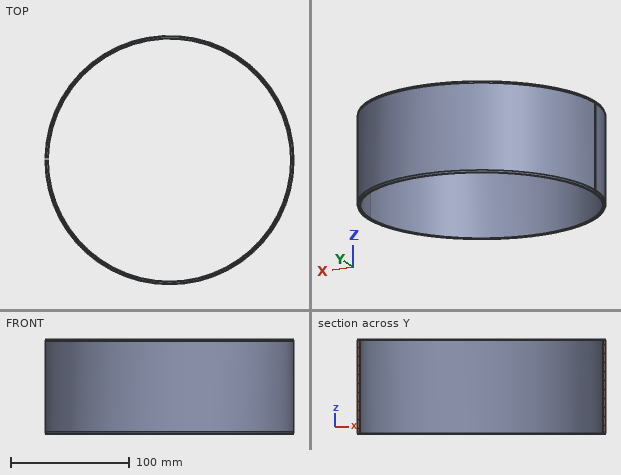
import cadquery as cq

outer_radius = 105.0
height = 80.0
wall_thickness = 2.5
outer_bevel_depth = 0.65
outer_bevel_height = 1.8
inner_bevel_depth = 0.35
inner_bevel_height = 0.6
slit_width = 1.8

inner_radius = outer_radius - wall_thickness
half_height = height / 2


def make_band():
    """Thin upright band with a steep outer bevel and a small inner bevel at both rims."""
    rim_outer_radius = outer_radius - outer_bevel_depth
    rim_inner_radius = inner_radius + inner_bevel_depth
    outer_shoulder = half_height - outer_bevel_height
    inner_shoulder = half_height - inner_bevel_height
    section = [
        (inner_radius, -inner_shoulder),
        (rim_inner_radius, -half_height),
        (rim_outer_radius, -half_height),
        (outer_radius, -outer_shoulder),
        (outer_radius, outer_shoulder),
        (rim_outer_radius, half_height),
        (rim_inner_radius, half_height),
        (inner_radius, inner_shoulder),
    ]
    axis_start = (0, 0, 0)
    axis_end = (0, 1, 0)
    return cq.Workplane("XZ").polyline(section).close().revolve(360, axis_start, axis_end)


def make_slit():
    """Cutter that splits the -X wall over its full height; one slit face lies on the XZ plane."""
    cutter = cq.Workplane("XY").box(outer_radius, slit_width, height)
    return cutter.translate((-outer_radius, slit_width / 2, 0))


result = make_band().cut(make_slit())